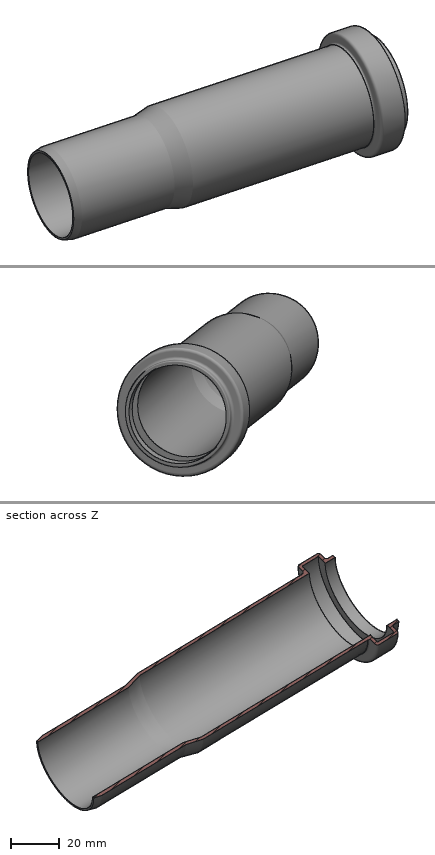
import cadquery as cq

length = 155.5

spigot_radius = 40.0 / 2
spigot_bore_radius = 36.4 / 2
spigot_end = 47.0
tip_chamfer_length = 3.4
tip_chamfer_depth = 1.0

barrel_radius = 44.0 / 2
barrel_bore_radius = 40.7 / 2
wall = barrel_radius - barrel_bore_radius
barrel_start = 54.5

collar_radius = 44.3 / 2
collar_start = length - 16.2
bead_radius = 53.5 / 2
bead_start = length - 15.1
bead_end = length - 3.5
bead_edge_radius = 1.2
bead_back_root_radius = 0.7
bead_mouth_root_radius = 1.1
mouth_edge_radius = 0.5


def revolve_about_axis(profile):
    """Turn a closed (radius, Y) profile about the Y axis."""
    return profile.close().revolve(360, (0, 0, 0), (0, 1, 0))


def collar_edge_at(y):
    """Selector for the circular edge of the collar whose centre is at y on the axis."""
    margin = 0.2
    reach = collar_radius + margin
    return cq.selectors.BoxSelector(
        (-reach, y - margin, -reach), (reach, y + margin, reach), boundingbox=True
    )


def outer_body():
    """Solid envelope of spigot, taper, barrel, collar and rounded bead."""
    pipe = revolve_about_axis(
        cq.Workplane("XY")
        .moveTo(0, 0)
        .lineTo(spigot_radius - tip_chamfer_depth, 0)
        .lineTo(spigot_radius, tip_chamfer_length)
        .lineTo(spigot_radius, spigot_end)
        .lineTo(barrel_radius, barrel_start)
        .lineTo(barrel_radius, collar_start)
        .lineTo(collar_radius, collar_start)
        .lineTo(collar_radius, length)
        .lineTo(0, length)
    )
    bead = (
        cq.Workplane("XZ", origin=(0, bead_start, 0))
        .circle(bead_radius)
        .extrude(bead_start - bead_end)
        .edges()
        .fillet(bead_edge_radius)
    )
    body = pipe.union(bead)
    body = body.edges(collar_edge_at(bead_start)).fillet(bead_back_root_radius)
    body = body.edges(collar_edge_at(bead_end)).fillet(bead_mouth_root_radius)
    return body.edges(collar_edge_at(length)).fillet(mouth_edge_radius)


def inner_cavity():
    """Stepped bore and seal groove, following the outside at wall thickness."""
    collar_bore_radius = collar_radius - wall
    groove_radius = bead_radius - wall
    groove_start = bead_start + wall
    groove_end = bead_end - wall
    return revolve_about_axis(
        cq.Workplane("XY")
        .moveTo(0, 0)
        .lineTo(spigot_bore_radius, 0)
        .lineTo(spigot_bore_radius, spigot_end)
        .lineTo(barrel_bore_radius, barrel_start)
        .lineTo(barrel_bore_radius, groove_start)
        .lineTo(groove_radius, groove_start)
        .lineTo(groove_radius, groove_end)
        .lineTo(collar_bore_radius, groove_end)
        .lineTo(collar_bore_radius, length)
        .lineTo(0, length)
    )


result = outer_body().cut(inner_cavity())